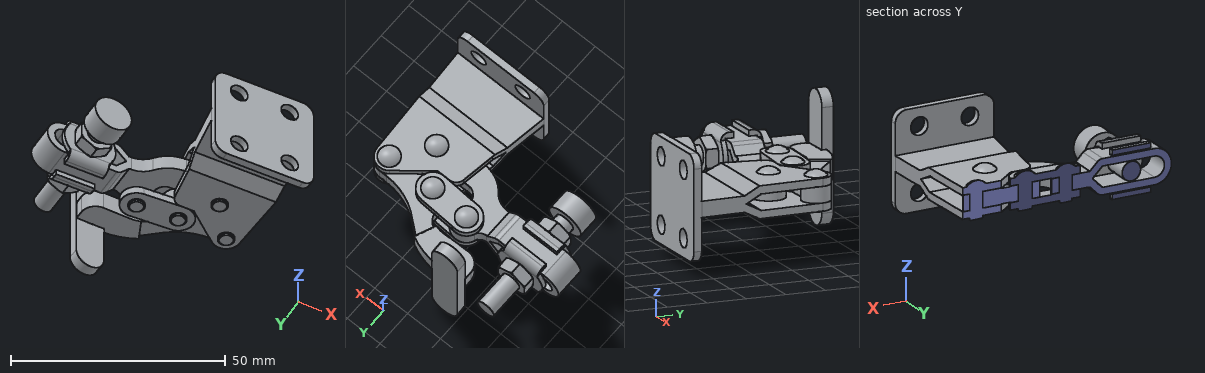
import cadquery as cq
import math


SHEET = 2.0
CORE_HALF = SHEET
OUTER_HALF = CORE_HALF + SHEET
ARM_PIVOT = (1.1, 23.9)
LEVER_PIVOT = (7.85, 33.1)
LINK_ARM_JOINT = (-15.87, 33.3)
LINK_LEVER_JOINT = (-5.1, 32.7)

SHANK_RADIUS = 2.0
HEAD_RADIUS = 2.8
HEAD_HEIGHT = 1.3
TAIL_LENGTH = 0.65
TAIL_CHAMFER = 0.3

FLANGE_LENGTH = 26.2
FLANGE_HEIGHT = 26.0
FLANGE_THICKNESS = 2.0
FLANGE_CORNER_RADIUS = 3.0
HOLE_DIAMETER = 4.5
HOLE_PITCH_X = 13.4
HOLE_PITCH_Z = 16.5
BEND_START_Y = 13.06
BEND_END_Y = 16.93
EAR_RADIUS = 3.6
SHOULDER_Y = 28.7
SHOULDER_LEFT_X = -9.0
SHOULDER_RIGHT_X = -3.15
SHOULDER_FILLET = 2.6

STRAP_OUTER_RADIUS = 4.6
STRAP_INNER_RADIUS = STRAP_OUTER_RADIUS - SHEET
STRAP_WIDTH = 8.0
STRAP_BOTTOM_Y = 25.27
STRAP_TOP_Y = STRAP_BOTTOM_Y + STRAP_WIDTH
STRAP_END_X = -43.9
STRAP_LOOP_X = STRAP_END_X + STRAP_OUTER_RADIUS
SLOT_APEX_X = -23.0
STRAP_BEND_RADIUS = 2.0
TAIL_START_X = -21.6
ARM_BOSS_RADIUS = 4.0
ARM_PIVOT_RADIUS = 4.15
ARM_GAP_RADIUS = 2.7
ARM_GAP_Y = 26.3
ARM_SHOULDER_RADIUS = 5.8
ARM_BELLY_RADIUS = 9.0
ARM_NECK_FILLET = 2.5

LINK_RADIUS = 4.0

GRIP_WALL = 0.5
GRIP_HALF = CORE_HALF + GRIP_WALL
GRIP_MOUTH = (-10.36, 41.7)
GRIP_MOUTH_WIDTH = 5.87
NECK_ANGLE = 23.0
NECK_WIDTH = GRIP_MOUTH_WIDTH - 2 * GRIP_WALL
NECK_OVERLAP = 1.5
LEVER_BACK_START = (-4.4, 39.86)
LEVER_BACK_END = (5.65, LEVER_PIVOT[1] + EAR_RADIUS)
LEVER_BACK_RADIUS = 17.5
LEVER_LOWER_Y = 30.8
LEVER_ELBOW_Y = 36.8
LEVER_ELBOW_RADIUS = 3.0
LEVER_BOSS_RADIUS = 4.0
GRIP_END_X = -25.3
GRIP_END_TOP_Y = 45.3
GRIP_BOTTOM_Y = 39.2
GRIP_CORNER_RADIUS = 3.8
GRIP_BELLY_START = (-14.4, 39.4)
GRIP_BELLY_RADIUS = 7.6
GRIP_BACK_START = (-18.0, 46.55)
GRIP_BACK_RADIUS = 20.0
TBAR_LENGTH = 33.0
TBAR_WIDTH = 7.5
TBAR_THICKNESS = 3.0
TBAR_TILT = 1.7
TBAR_CENTRE = (-21.72, 46.78)

SPINDLE_X = -33.23
BOLT_DIAMETER = 5.0
BOLT_TOP_Y = 47.0
CAP_DIAMETER = 9.7
CAP_BOTTOM_Y = 12.65
CAP_HEIGHT = 5.55
NUT_FLATS = 8.0
NUT_CORNER_DIAMETER = NUT_FLATS / math.cos(math.radians(30))
NUT_HEIGHT = 3.2
NUT_CHAMFER_AXIAL = 0.2
NUT_CHAMFER_RADIAL = 0.35
WASHER_THICKNESS = 1.25
WASHER_RADIUS = 6.78
TAB_WIDTH = 10.3
TAB_START_Z = 4.0
TAB_BEND_RADIUS = 2.25
TAB_LENGTH = 3.3
TAB_GAP = 0.2


def polar(centre, radius, degrees):
    """Point at an angle on a circle."""
    angle = math.radians(degrees)
    return (centre[0] + radius * math.cos(angle), centre[1] + radius * math.sin(angle))


def tangent_point(point, centre, radius, side):
    """Point where a line from an outside point touches a circle; side is +1 or -1."""
    dx = point[0] - centre[0]
    dy = point[1] - centre[1]
    swing = math.acos(radius / math.hypot(dx, dy))
    return polar(centre, radius, math.degrees(math.atan2(dy, dx) + side * swing))


def plate(outline, half_thickness):
    """Extrude a closed XY outline equally to both sides of Z = 0."""
    return outline.extrude(half_thickness, both=True)


def disc(centre, radius, half_thickness):
    """Round plate centred on Z = 0."""
    return plate(cq.Workplane("XY").center(*centre).circle(radius), half_thickness)


def shank(centre):
    """Straight rivet shank, also used to cut the hole that it fits."""
    return disc(centre, SHANK_RADIUS, OUTER_HALF)


def rivet(centre):
    """Rivet along Z with a domed head on top and a chamfered tail below."""
    tail_end = -OUTER_HALF - TAIL_LENGTH
    head_top = OUTER_HALF + HEAD_HEIGHT
    rim_rise = HEAD_HEIGHT - (HEAD_RADIUS ** 2 + HEAD_HEIGHT ** 2) / (2 * HEAD_HEIGHT)
    dome_radius = HEAD_HEIGHT - rim_rise
    dome_mid_x = dome_radius * math.sin(math.asin(HEAD_RADIUS / dome_radius) / 2)
    dome_mid_z = OUTER_HALF + rim_rise + math.sqrt(dome_radius ** 2 - dome_mid_x ** 2)
    return (
        cq.Workplane("XZ")
        .moveTo(0, tail_end)
        .lineTo(SHANK_RADIUS - TAIL_CHAMFER, tail_end)
        .lineTo(SHANK_RADIUS, tail_end + TAIL_CHAMFER)
        .lineTo(SHANK_RADIUS, OUTER_HALF)
        .lineTo(HEAD_RADIUS, OUTER_HALF)
        .threePointArc((dome_mid_x, dome_mid_z), (0, head_top))
        .close()
        .revolve(360, (0, 0), (0, 1))
        .translate((centre[0], centre[1], 0))
    )


def y_cylinder(diameter, start_y, length):
    """Cylinder on the spindle axis, growing toward +Y."""
    return (
        cq.Workplane("XZ", origin=(SPINDLE_X, start_y, 0))
        .circle(diameter / 2)
        .extrude(-length)
    )


def base_flange():
    return (
        cq.Workplane("XZ")
        .rect(FLANGE_LENGTH, FLANGE_HEIGHT)
        .extrude(-FLANGE_THICKNESS)
        .edges("|Y")
        .fillet(FLANGE_CORNER_RADIUS)
        .faces("<Y")
        .workplane(origin=(0, 0, 0))
        .rarray(HOLE_PITCH_X, HOLE_PITCH_Z, 2, 2)
        .hole(HOLE_DIAMETER)
    )


def base_side_plate():
    """Tapered plate that gives the web and the ears their XY shape."""
    half = FLANGE_LENGTH / 2
    lower_left = (-half, FLANGE_THICKNESS)
    lower_right = (half, FLANGE_THICKNESS)
    shoulder_left = (SHOULDER_LEFT_X, SHOULDER_Y)
    shoulder_right = (SHOULDER_RIGHT_X, SHOULDER_Y)
    slope_end = tangent_point(shoulder_right, LEVER_PIVOT, EAR_RADIUS, -1)
    back_end = tangent_point(lower_right, LEVER_PIVOT, EAR_RADIUS, 1)
    outline = (
        cq.Workplane("XY")
        .polyline([lower_left, shoulder_left, shoulder_right, slope_end])
        .threePointArc(polar(LEVER_PIVOT, EAR_RADIUS, 60), back_end)
        .lineTo(*lower_right)
        .close()
    )
    corner = cq.selectors.NearestToPointSelector((*shoulder_left, 0))
    return plate(outline, OUTER_HALF).edges(corner).fillet(SHOULDER_FILLET)


def base_fork():
    """Double-thickness web whose two sheets spread into parallel ears, extruded along X."""
    slope = math.atan2(SHEET, BEND_END_Y - BEND_START_Y)
    inner_shift = SHEET * math.tan(slope / 2)
    crotch_y = BEND_START_Y + inner_shift
    inner_end_y = BEND_END_Y + inner_shift
    top_y = LEVER_PIVOT[1] + EAR_RADIUS
    right_side = [
        (FLANGE_THICKNESS, CORE_HALF),
        (BEND_START_Y, CORE_HALF),
        (BEND_END_Y, OUTER_HALF),
        (top_y, OUTER_HALF),
        (top_y, CORE_HALF),
        (inner_end_y, CORE_HALF),
    ]
    left_side = [(y, -z) for y, z in reversed(right_side)]
    return (
        cq.Workplane("YZ")
        .polyline(right_side + [(crotch_y, 0)] + left_side)
        .close()
        .extrude(FLANGE_LENGTH / 2, both=True)
    )


def make_base():
    base = base_flange().union(base_fork().intersect(base_side_plate()))
    for pivot in (ARM_PIVOT, LEVER_PIVOT):
        base = base.union(rivet(pivot))
    return base


def arm_strap():
    """Folded strap with the slot for the spindle, extruded along Y."""
    fold_x = SLOT_APEX_X + SHEET * math.sqrt(2)
    outer_bend_x = fold_x - STRAP_OUTER_RADIUS
    inner_bend_x = SLOT_APEX_X - STRAP_INNER_RADIUS
    slope_end_x = fold_x - CORE_HALF
    outer = (
        cq.Workplane("XZ", origin=(0, STRAP_BOTTOM_Y, 0))
        .moveTo(STRAP_LOOP_X, STRAP_OUTER_RADIUS)
        .lineTo(outer_bend_x, STRAP_OUTER_RADIUS)
        .lineTo(slope_end_x, CORE_HALF)
        .lineTo(TAIL_START_X, CORE_HALF)
        .lineTo(TAIL_START_X, -CORE_HALF)
        .lineTo(slope_end_x, -CORE_HALF)
        .lineTo(outer_bend_x, -STRAP_OUTER_RADIUS)
        .lineTo(STRAP_LOOP_X, -STRAP_OUTER_RADIUS)
        .threePointArc((STRAP_END_X, 0), (STRAP_LOOP_X, STRAP_OUTER_RADIUS))
        .close()
        .extrude(-STRAP_WIDTH)
    )
    for side in (1, -1):
        corner = (outer_bend_x, STRAP_BOTTOM_Y + STRAP_WIDTH / 2, side * STRAP_OUTER_RADIUS)
        outer = outer.edges(cq.selectors.NearestToPointSelector(corner)).fillet(STRAP_BEND_RADIUS)
    slot = (
        cq.Workplane("XZ", origin=(0, STRAP_BOTTOM_Y, 0))
        .moveTo(STRAP_LOOP_X, STRAP_INNER_RADIUS)
        .lineTo(inner_bend_x, STRAP_INNER_RADIUS)
        .lineTo(SLOT_APEX_X, 0)
        .lineTo(inner_bend_x, -STRAP_INNER_RADIUS)
        .lineTo(STRAP_LOOP_X, -STRAP_INNER_RADIUS)
        .threePointArc((STRAP_END_X + SHEET, 0), (STRAP_LOOP_X, STRAP_INNER_RADIUS))
        .close()
        .extrude(-STRAP_WIDTH)
    )
    return outer.cut(slot)


def arm_tail():
    """Flat tail that dips from the strap down to the arm pivot."""
    joint_x, joint_y = LINK_ARM_JOINT
    pivot_x, pivot_y = ARM_PIVOT
    belly_y = pivot_y - ARM_PIVOT_RADIUS

    radius_sum = ARM_SHOULDER_RADIUS + ARM_BELLY_RADIUS
    turn = math.acos(1 - (STRAP_BOTTOM_Y - belly_y) / radius_sum)
    turn_degrees = math.degrees(turn)
    belly_end_x = TAIL_START_X + radius_sum * math.sin(turn)
    shoulder_centre = (TAIL_START_X, STRAP_BOTTOM_Y - ARM_SHOULDER_RADIUS)
    belly_centre = (belly_end_x, belly_y + ARM_BELLY_RADIUS)
    shoulder_mid = polar(shoulder_centre, ARM_SHOULDER_RADIUS, 90 - turn_degrees / 2)
    shoulder_end = polar(shoulder_centre, ARM_SHOULDER_RADIUS, 90 - turn_degrees)
    belly_mid = polar(belly_centre, ARM_BELLY_RADIUS, 270 - turn_degrees / 2)

    hollow_y = ARM_GAP_Y + ARM_GAP_RADIUS
    centre_distance = ARM_BOSS_RADIUS + ARM_GAP_RADIUS
    hollow_x = joint_x + math.sqrt(centre_distance ** 2 - (joint_y - hollow_y) ** 2)
    hollow = (hollow_x, hollow_y)
    boss_angle = math.degrees(math.atan2(hollow_y - joint_y, hollow_x - joint_x))
    hollow_start = polar(LINK_ARM_JOINT, ARM_BOSS_RADIUS, boss_angle)
    hollow_mid = polar(hollow, ARM_GAP_RADIUS, (boss_angle + 180 + 270) / 2)

    neck_y = STRAP_TOP_Y + ARM_NECK_FILLET
    neck_reach = ARM_BOSS_RADIUS + ARM_NECK_FILLET
    neck_x = joint_x - math.sqrt(neck_reach ** 2 - (neck_y - joint_y) ** 2)
    neck_angle = math.degrees(math.atan2(joint_y - neck_y, joint_x - neck_x))
    neck_mid = polar((neck_x, neck_y), ARM_NECK_FILLET, (neck_angle - 90) / 2)
    neck_end = polar((neck_x, neck_y), ARM_NECK_FILLET, neck_angle)

    outline = (
        cq.Workplane("XY")
        .moveTo(TAIL_START_X, STRAP_BOTTOM_Y)
        .threePointArc(shoulder_mid, shoulder_end)
        .threePointArc(belly_mid, (belly_end_x, belly_y))
        .lineTo(pivot_x, belly_y)
        .lineTo(pivot_x, ARM_GAP_Y)
        .lineTo(hollow_x, ARM_GAP_Y)
        .threePointArc(hollow_mid, hollow_start)
        .lineTo(joint_x, joint_y)
        .lineTo(*neck_end)
        .threePointArc(neck_mid, (neck_x, STRAP_TOP_Y))
        .lineTo(TAIL_START_X, STRAP_TOP_Y)
        .close()
    )
    return plate(outline, CORE_HALF)


def make_arm():
    arm = arm_strap().union(arm_tail())
    arm = arm.union(disc(LINK_ARM_JOINT, ARM_BOSS_RADIUS, CORE_HALF))
    arm = arm.union(disc(ARM_PIVOT, ARM_PIVOT_RADIUS, CORE_HALF))
    for pivot in (LINK_ARM_JOINT, ARM_PIVOT):
        arm = arm.cut(shank(pivot))
    return arm


def make_linkage():
    dx = LINK_LEVER_JOINT[0] - LINK_ARM_JOINT[0]
    dy = LINK_LEVER_JOINT[1] - LINK_ARM_JOINT[1]
    mid_x = (LINK_ARM_JOINT[0] + LINK_LEVER_JOINT[0]) / 2
    mid_y = (LINK_ARM_JOINT[1] + LINK_LEVER_JOINT[1]) / 2
    length = math.hypot(dx, dy) + 2 * LINK_RADIUS
    angle = math.degrees(math.atan2(dy, dx))
    linkage = rivet(LINK_ARM_JOINT).union(rivet(LINK_LEVER_JOINT))
    for bottom_z in (CORE_HALF, -OUTER_HALF):
        link = (
            cq.Workplane("XY", origin=(mid_x, mid_y, bottom_z))
            .slot2D(length, 2 * LINK_RADIUS, angle)
            .extrude(SHEET)
        )
        linkage = linkage.union(link)
    return linkage


def grip_stem_outline():
    mouth_top = polar(GRIP_MOUTH, GRIP_MOUTH_WIDTH / 2, 90 - NECK_ANGLE)
    mouth_bottom = polar(GRIP_MOUTH, GRIP_MOUTH_WIDTH / 2, 270 - NECK_ANGLE)
    corner_x = GRIP_END_X + GRIP_CORNER_RADIUS
    corner_y = GRIP_BOTTOM_Y + GRIP_CORNER_RADIUS
    corner_mid = polar((corner_x, corner_y), GRIP_CORNER_RADIUS, 225)
    return (
        cq.Workplane("XY")
        .moveTo(GRIP_END_X, GRIP_END_TOP_Y)
        .lineTo(GRIP_END_X, corner_y)
        .threePointArc(corner_mid, (corner_x, GRIP_BOTTOM_Y))
        .lineTo(*GRIP_BELLY_START)
        .radiusArc(mouth_bottom, GRIP_BELLY_RADIUS)
        .lineTo(*mouth_top)
        .radiusArc(GRIP_BACK_START, -GRIP_BACK_RADIUS)
        .lineTo(GRIP_BACK_START[0], GRIP_END_TOP_Y)
        .close()
    )


def t_bar():
    return (
        cq.Workplane("XZ")
        .slot2D(TBAR_LENGTH, TBAR_WIDTH, 90)
        .extrude(TBAR_THICKNESS / 2, both=True)
        .rotate((0, 0, 0), (0, 0, 1), TBAR_TILT)
        .translate((*TBAR_CENTRE, 0))
    )


def make_grip(lever):
    return plate(grip_stem_outline(), GRIP_HALF).union(t_bar()).cut(lever)


def lever_body():
    neck_centre = polar(GRIP_MOUTH, NECK_OVERLAP, 180 - NECK_ANGLE)
    inner_top = polar(neck_centre, NECK_WIDTH / 2, 90 - NECK_ANGLE)
    inner_bottom = polar(neck_centre, NECK_WIDTH / 2, 270 - NECK_ANGLE)
    neck_top = polar(GRIP_MOUTH, NECK_WIDTH / 2, 90 - NECK_ANGLE)
    neck_bottom = polar(GRIP_MOUTH, NECK_WIDTH / 2, 270 - NECK_ANGLE)
    elbow = (LINK_LEVER_JOINT[0] - LEVER_BOSS_RADIUS, LEVER_ELBOW_Y)
    outline = (
        cq.Workplane("XY")
        .polyline([inner_bottom, inner_top, neck_top, LEVER_BACK_START])
        .radiusArc(LEVER_BACK_END, -LEVER_BACK_RADIUS)
        .lineTo(LEVER_PIVOT[0], LEVER_BACK_END[1])
        .lineTo(LEVER_PIVOT[0], LEVER_LOWER_Y)
        .lineTo(LINK_LEVER_JOINT[0], LEVER_LOWER_Y)
        .lineTo(elbow[0], LINK_LEVER_JOINT[1])
        .lineTo(*elbow)
        .radiusArc(neck_bottom, -LEVER_ELBOW_RADIUS)
        .close()
    )
    return plate(outline, CORE_HALF)


def make_lever():
    tongue = plate(grip_stem_outline().offset2D(-GRIP_WALL), CORE_HALF)
    lever = lever_body().union(tongue)
    lever = lever.union(disc(LINK_LEVER_JOINT, LEVER_BOSS_RADIUS, CORE_HALF))
    lever = lever.union(disc(LEVER_PIVOT, EAR_RADIUS, CORE_HALF))
    for pivot in (LINK_LEVER_JOINT, LEVER_PIVOT):
        lever = lever.cut(shank(pivot))
    return lever


def nut(start_y):
    """Hexagon nut with corners chamfered at both ends; two corners point along Z."""
    hexagon = (
        cq.Workplane("XZ", origin=(SPINDLE_X, start_y, 0))
        .transformed(rotate=(0, 0, 90))
        .polygon(6, NUT_CORNER_DIAMETER)
        .extrude(-NUT_HEIGHT)
    )
    envelope = (
        y_cylinder(NUT_CORNER_DIAMETER, start_y, NUT_HEIGHT)
        .faces("<Y or >Y")
        .chamfer(NUT_CHAMFER_AXIAL, NUT_CHAMFER_RADIAL)
    )
    return hexagon.intersect(envelope)


def flanged_washer():
    """Washer with its outer face at Y = 0 and both Z edges curled over the strap toward +Y."""
    outer_z = TAB_START_Z + TAB_BEND_RADIUS
    inner_z = STRAP_OUTER_RADIUS + TAB_GAP
    bend_mid = polar((TAB_BEND_RADIUS, TAB_START_Z), TAB_BEND_RADIUS, 135)
    half_section = (
        cq.Workplane("YZ")
        .lineTo(0, TAB_START_Z)
        .threePointArc(bend_mid, (TAB_BEND_RADIUS, outer_z))
        .lineTo(TAB_LENGTH, outer_z)
        .lineTo(TAB_LENGTH, inner_z)
        .lineTo(WASHER_THICKNESS, inner_z)
        .lineTo(WASHER_THICKNESS, 0)
        .close()
        .extrude(WASHER_RADIUS, both=True)
    )
    blank = (
        cq.Workplane("XZ")
        .circle(WASHER_RADIUS)
        .extrude(-TAB_LENGTH)
        .union(cq.Workplane("XZ").rect(TAB_WIDTH, 2 * outer_z).extrude(-TAB_LENGTH))
    )
    return half_section.union(half_section.mirror("XY")).intersect(blank)


def make_spindle():
    cap_top_y = CAP_BOTTOM_Y + CAP_HEIGHT
    lower_washer_y = STRAP_BOTTOM_Y - WASHER_THICKNESS
    upper_washer_y = STRAP_TOP_Y + WASHER_THICKNESS
    lower_washer = flanged_washer().translate((SPINDLE_X, lower_washer_y, 0))
    upper_washer = flanged_washer().mirror("XZ").translate((SPINDLE_X, upper_washer_y, 0))
    return (
        y_cylinder(BOLT_DIAMETER, cap_top_y, BOLT_TOP_Y - cap_top_y)
        .union(y_cylinder(CAP_DIAMETER, CAP_BOTTOM_Y, CAP_HEIGHT))
        .union(lower_washer)
        .union(upper_washer)
        .union(nut(lower_washer_y - NUT_HEIGHT))
        .union(nut(upper_washer_y))
    )


base = make_base()
arm = make_arm()
linkage = make_linkage()
lever = make_lever()
grip = make_grip(lever)
spindle = make_spindle()

bodies = [base, arm, linkage, lever, grip, spindle]
result = cq.Compound.makeCompound([body.solids().val() for body in bodies])